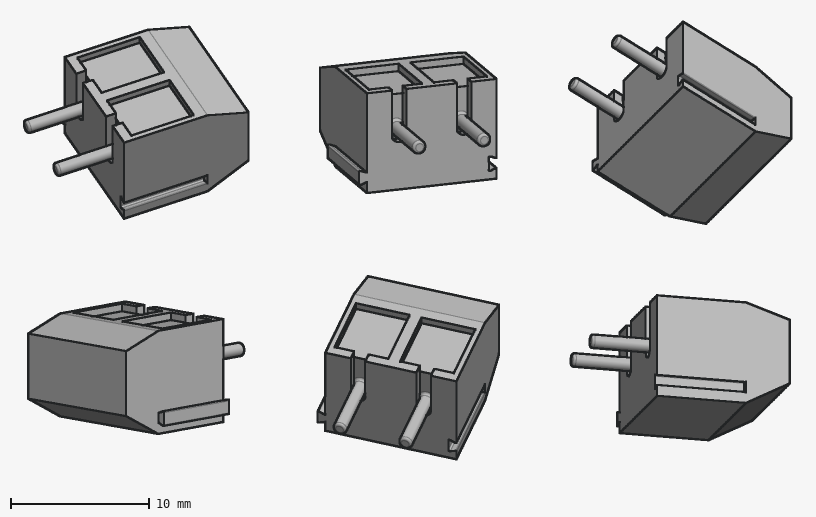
import cadquery as cq
import math

body_width = 10.0
body_depth = 10.0
body_height = 7.6
slope_depth = 3.3
top_slope_drop = 1.06
bottom_slope_rise = 1.75
straight_depth = body_depth - slope_depth

pitch = body_width / 2
terminal_centers = [-pitch / 2, pitch / 2]

pocket_width = 4.09
pocket_length = 5.0
pocket_depth = 0.56
front_wall = 0.8

slot_width = 1.1
slot_depth = 3.98

pin_radius = 0.5
pin_projection = 4.3
pin_drop = 3.1
pin_tip_round = 0.2
pin_root_fillet = 0.2

dovetail_height = 0.6
dovetail_center = 1.2
tip_width = 1.19
neck_width = 0.7
dovetail_round = 0.1
groove_lip_round = 0.05


def make_body():
    """Housing side outline in the YZ plane, extruded across the width."""
    outline = [
        (0, 0),
        (straight_depth, 0),
        (body_depth, bottom_slope_rise),
        (body_depth, body_height - top_slope_drop),
        (straight_depth, body_height),
        (0, body_height),
    ]
    return cq.Workplane("YZ").polyline(outline).close().extrude(body_width / 2, both=True)


def make_dovetail(base_x):
    """Dovetail bar that widens toward -X from base_x, running back from the front face."""
    tip_x = base_x - dovetail_height
    outline = [
        (base_x, neck_width / 2),
        (tip_x, tip_width / 2),
        (tip_x, -tip_width / 2),
        (base_x, -neck_width / 2),
    ]
    bar = (
        cq.Workplane("XZ", origin=(0, 0, dovetail_center))
        .polyline(outline)
        .close()
        .extrude(-straight_depth)
    )
    return bar.faces("<X").edges("|Y").fillet(dovetail_round)


def cut_groove(body):
    """Dovetail groove in the right side, with its two long lips rounded over."""
    side_x = body_width / 2
    grooved = body.cut(make_dovetail(side_x))
    around_lips = cq.selectors.BoxSelector(
        (side_x - groove_lip_round, 0, dovetail_center - tip_width / 2),
        (side_x + groove_lip_round, straight_depth, dovetail_center + tip_width / 2),
    )
    return grooved.edges("|Y").edges(around_lips).fillet(groove_lip_round)


def make_pocket(center_x):
    """Rectangular recess in the top face, behind the front wall."""
    pocket = cq.Workplane("XY").box(
        pocket_width, pocket_length, pocket_depth, centered=(True, False, False)
    )
    return pocket.translate((center_x, front_wall, body_height - pocket_depth))


def make_slot(center_x):
    """Slot open at the top, with a half-round bottom, as deep as the front wall."""
    half_width = slot_width / 2
    bottom = body_height - slot_depth
    return (
        cq.Workplane("XZ")
        .moveTo(center_x - half_width, body_height)
        .lineTo(center_x - half_width, bottom + half_width)
        .threePointArc((center_x, bottom), (center_x + half_width, bottom + half_width))
        .lineTo(center_x + half_width, body_height)
        .close()
        .extrude(-front_wall)
    )


def make_pin(center_x):
    """Round pin with a rounded tip and a root that flares into the back of its slot."""
    tip_y = -pin_projection
    root_y = front_wall
    arc_mid_offset = 1 - math.cos(math.pi / 4)
    tip_inset = pin_tip_round * arc_mid_offset
    flare_mid = pin_root_fillet * arc_mid_offset
    profile = (
        cq.Workplane("XY")
        .moveTo(0, tip_y)
        .lineTo(pin_radius - pin_tip_round, tip_y)
        .threePointArc(
            (pin_radius - tip_inset, tip_y + tip_inset),
            (pin_radius, tip_y + pin_tip_round),
        )
        .lineTo(pin_radius, root_y - pin_root_fillet)
        .threePointArc(
            (pin_radius + flare_mid, root_y - flare_mid),
            (pin_radius + pin_root_fillet, root_y),
        )
        .lineTo(0, root_y)
        .close()
    )
    pin = profile.revolve(360, (0, 0, 0), (0, 1, 0))
    return pin.translate((center_x, 0, body_height - pin_drop))


result = cut_groove(make_body())
result = result.union(make_dovetail(-body_width / 2))
for center_x in terminal_centers:
    result = result.cut(make_pocket(center_x))
    result = result.cut(make_slot(center_x))
    result = result.union(make_pin(center_x))